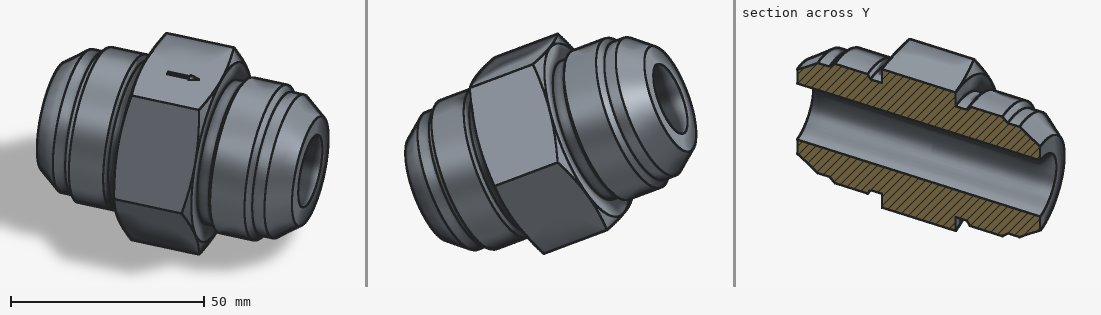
import cadquery as cq
import math

total_length = 69.85
half_length = total_length / 2
bore_diameter = 19.15

hex_across_flats = 47.75
hex_across_corners = hex_across_flats / math.cos(math.radians(30))
hex_width = 21.2
hex_half_width = hex_width / 2
hex_face_diameter = 47.6
hex_trim_clearance = 1.0
hex_chamfer_angle = 20.0

neck_diameter = 38.33
thread_diameter = 41.27
nose_diameter = 38.12
seat_end_diameter = 29.05
seat_length = 5.97
nose_length = 3.35
thread_length = 11.8
thread_inner_chamfer_angle = 30.0

arrow_depth = 0.1
arrow_tail_x = -3.47
arrow_head_x = 2.5
arrow_tip_x = 5.1
arrow_center_y = -1.8
arrow_shaft_width = 0.95
arrow_head_width = 2.1


def make_hexagon():
    """Hexagonal prism along X whose corners are trimmed by a cone at each end."""
    prism = (
        cq.Workplane("YZ")
        .polygon(6, hex_across_corners)
        .extrude(hex_half_width, both=True)
    )
    face_radius = hex_face_diameter / 2
    trim_radius = hex_across_corners / 2 + hex_trim_clearance
    trim_depth = (trim_radius - face_radius) * math.tan(math.radians(hex_chamfer_angle))
    shoulder_x = hex_half_width - trim_depth
    trim_body = (
        cq.Workplane("XY")
        .moveTo(-hex_half_width, 0)
        .lineTo(-hex_half_width, face_radius)
        .lineTo(-shoulder_x, trim_radius)
        .lineTo(shoulder_x, trim_radius)
        .lineTo(hex_half_width, face_radius)
        .lineTo(hex_half_width, 0)
        .close()
        .revolve(360, (0, 0, 0), (1, 0, 0))
    )
    return prism.intersect(trim_body)


def make_turned_end():
    """Solid of revolution from the middle of the part out to the +X end."""
    neck_radius = neck_diameter / 2
    thread_radius = thread_diameter / 2
    nose_radius = nose_diameter / 2
    seat_start_x = half_length - seat_length
    thread_outer_x = seat_start_x - nose_length
    thread_inner_x = thread_outer_x - thread_length
    outer_chamfer = thread_radius - nose_radius
    inner_chamfer_slope = math.tan(math.radians(thread_inner_chamfer_angle))
    inner_chamfer = (thread_radius - neck_radius) * inner_chamfer_slope
    return (
        cq.Workplane("XY")
        .moveTo(0, 0)
        .lineTo(0, neck_radius)
        .lineTo(thread_inner_x, neck_radius)
        .lineTo(thread_inner_x + inner_chamfer, thread_radius)
        .lineTo(thread_outer_x - outer_chamfer, thread_radius)
        .lineTo(thread_outer_x, nose_radius)
        .lineTo(seat_start_x, nose_radius)
        .lineTo(half_length, seat_end_diameter / 2)
        .lineTo(half_length, 0)
        .close()
        .revolve(360, (0, 0, 0), (1, 0, 0))
    )


def make_bore():
    """Through bore along X."""
    return (
        cq.Workplane("YZ")
        .circle(bore_diameter / 2)
        .extrude(half_length, both=True)
    )


def make_arrow():
    """Cutter for the arrow that points to +X on the top flat."""
    half_shaft = arrow_shaft_width / 2
    half_head = arrow_head_width / 2
    return (
        cq.Workplane("XY")
        .workplane(offset=hex_across_flats / 2)
        .center(0, arrow_center_y)
        .moveTo(arrow_tail_x, -half_shaft)
        .lineTo(arrow_head_x, -half_shaft)
        .lineTo(arrow_head_x, -half_head)
        .lineTo(arrow_tip_x, 0)
        .lineTo(arrow_head_x, half_head)
        .lineTo(arrow_head_x, half_shaft)
        .lineTo(arrow_tail_x, half_shaft)
        .close()
        .extrude(-arrow_depth)
    )


turned_end = make_turned_end()
body = make_hexagon().union(turned_end).union(turned_end.mirror("YZ"))
result = body.cut(make_bore()).cut(make_arrow())